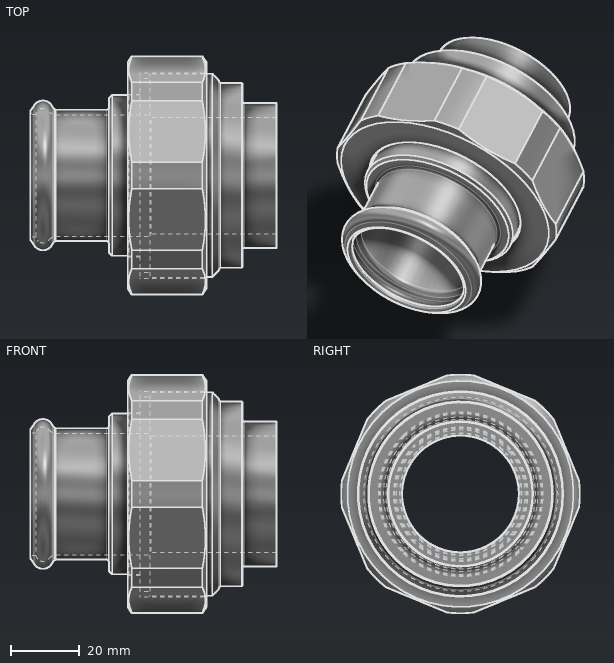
import cadquery as cq
import math


tube_diameter = 38.4
tube_bore = 35.4
bead_diameter = 43.8
bead_radius = 3.0
bead_x = 3.75
bead_reach = 2.7
groove_diameter = 39.3
groove_radius = 2.15
groove_wall_x = 4.9
groove_wall_slope = 0.8
groove_end_x = 7.5
mouth_outer_diameter = 37.6
mouth_diameter = 35.8
mouth_edge_fillet = 0.8
bead_foot_length = 0.5
collar_x = 23.0
collar_diameter = 47.0
collar_chamfer = 0.9
collar_root_fillet = 0.7
flange_diameter = 56.7
flange_thickness = 2.9

nut_x = 28.45
nut_length = 23.05
nut_corner_diameter = 69.7
nut_across_flats = 66.95
nut_sides = 8
nut_face_diameter = 65.95
nut_chamfer_length = 1.2
nut_bore = 47.5
nut_bore_chamfer = 0.3
nut_socket_diameter = 60.0
nut_web = 3.6

overall_length = 72.0
through_bore = 34.0
through_bore_chamfer = 0.3
thread_diameter = 59.5
thread_end_x = 53.1
thread_cone_length = 1.8
body_diameter = 54.0
body_start_x = 55.45
body_end_x = 62.0
body_edge_chamfer = 0.3
spigot_diameter = 42.4
spigot_root_fillet = 0.4
spigot_edge_chamfer = 0.2

flange_x = nut_x + nut_web
joint_x = flange_x + flange_thickness


def arc_height(half_chord, radius):
    """Distance from an arc's centre to a chord of the given half length."""
    return math.sqrt(radius**2 - half_chord**2)


def revolve_about_x(profile):
    return profile.close().revolve(360, (0, 0, 0), (1, 0, 0))


def make_tailpiece():
    tube_r = tube_diameter / 2
    bead_r = bead_diameter / 2
    groove_r = groove_diameter / 2
    collar_r = collar_diameter / 2
    mouth_r = mouth_diameter / 2
    bore_r = tube_bore / 2
    bead_edge_r = bead_r - bead_radius + arc_height(bead_reach, bead_radius)
    bead_end_x = bead_x + bead_reach
    foot_x = bead_end_x + bead_foot_length
    foot_r = tube_r + bead_foot_length / 2
    groove_wall_r = groove_r - groove_radius + arc_height(groove_wall_x - bead_x, groove_radius)
    wall_end_x = groove_wall_x + groove_wall_slope
    wall_end_r = groove_wall_r - groove_wall_slope
    mouth_half = arc_height(mouth_r - groove_r + groove_radius, groove_radius)

    profile = (
        cq.Workplane("XY")
        .moveTo(0, mouth_r + mouth_edge_fillet)
        .lineTo(0, mouth_outer_diameter / 2)
        .lineTo(bead_x - bead_reach, bead_edge_r)
        .threePointArc((bead_x, bead_r), (bead_end_x, bead_edge_r))
        .lineTo(foot_x, foot_r)
        .lineTo(foot_x + bead_foot_length, tube_r)
        .lineTo(collar_x - collar_root_fillet, tube_r)
        .radiusArc((collar_x, tube_r + collar_root_fillet), -collar_root_fillet)
        .lineTo(collar_x, collar_r - collar_chamfer)
        .lineTo(collar_x + collar_chamfer, collar_r)
        .lineTo(flange_x, collar_r)
        .lineTo(flange_x, flange_diameter / 2)
        .lineTo(joint_x, flange_diameter / 2)
        .lineTo(joint_x, bore_r)
        .lineTo(groove_end_x, bore_r)
        .tangentArcPoint((wall_end_x, wall_end_r), relative=False)
        .lineTo(groove_wall_x, groove_wall_r)
        .threePointArc((bead_x, groove_r), (bead_x - mouth_half, mouth_r))
        .lineTo(mouth_edge_fillet, mouth_r)
        .radiusArc((0, mouth_r + mouth_edge_fillet), mouth_edge_fillet)
    )
    return revolve_about_x(profile)


def make_nut():
    corner_r = nut_corner_diameter / 2
    face_r = nut_face_diameter / 2
    nut_end_x = nut_x + nut_length
    blank = revolve_about_x(
        cq.Workplane("XY")
        .moveTo(nut_x + nut_bore_chamfer, nut_bore / 2)
        .lineTo(nut_x, nut_bore / 2 + nut_bore_chamfer)
        .lineTo(nut_x, face_r)
        .lineTo(nut_x + nut_chamfer_length, corner_r)
        .lineTo(nut_end_x - nut_chamfer_length, corner_r)
        .lineTo(nut_end_x, face_r)
        .lineTo(nut_end_x, nut_socket_diameter / 2)
        .lineTo(flange_x, nut_socket_diameter / 2)
        .lineTo(flange_x, nut_bore / 2)
    )
    octagon = (
        cq.Workplane("YZ", origin=(nut_x, 0, 0))
        .polygon(nut_sides, nut_across_flats, circumscribed=True)
        .extrude(nut_length)
        .rotate((0, 0, 0), (1, 0, 0), 180 / nut_sides)
    )
    return blank.intersect(octagon)


def make_threaded_body():
    body_r = body_diameter / 2
    spigot_r = spigot_diameter / 2
    thread_r = thread_diameter / 2
    return revolve_about_x(
        cq.Workplane("XY")
        .moveTo(joint_x + through_bore_chamfer, through_bore / 2)
        .lineTo(joint_x, through_bore / 2 + through_bore_chamfer)
        .lineTo(joint_x, thread_r)
        .lineTo(thread_end_x, thread_r)
        .lineTo(thread_end_x + thread_cone_length, thread_r - thread_cone_length)
        .lineTo(body_start_x, body_r)
        .lineTo(body_end_x - body_edge_chamfer, body_r)
        .lineTo(body_end_x, body_r - body_edge_chamfer)
        .lineTo(body_end_x, spigot_r + spigot_root_fillet)
        .radiusArc((body_end_x + spigot_root_fillet, spigot_r), -spigot_root_fillet)
        .lineTo(overall_length - spigot_edge_chamfer, spigot_r)
        .lineTo(overall_length, spigot_r - spigot_edge_chamfer)
        .lineTo(overall_length, through_bore / 2)
    )


tailpiece = make_tailpiece()
nut = make_nut()
threaded_body = make_threaded_body()

result = cq.Compound.makeCompound([tailpiece.val(), nut.val(), threaded_body.val()])